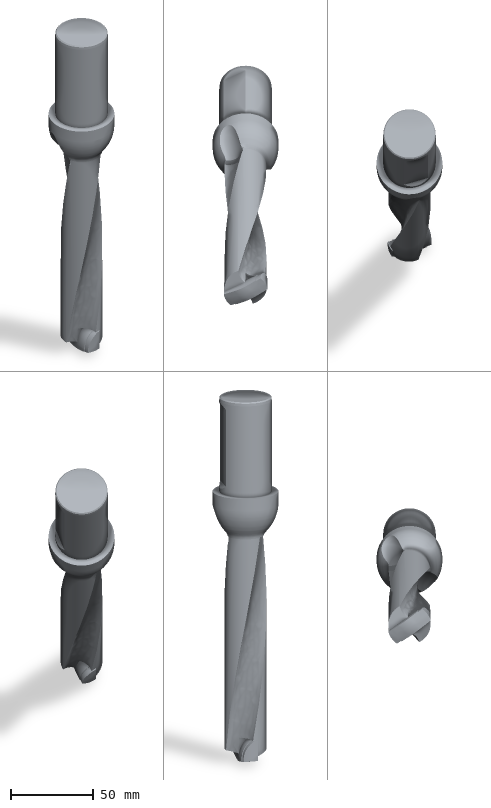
import cadquery as cq
import math

total_length = 230.0
shank_radius = 32.0 / 2
shank_end_radius = 15.2
shank_shoulder_radius = 15.9
shank_shoulder_z = 229.3
shank_taper_z = 227.7
collar_radius = 40.0 / 2
collar_top_z = 170.5
collar_bottom_z = 162.5

flat_distance = 14.0
flat_low_z = 173.2
flat_high_z = 226.8
flat_ramp = 2.8

shaft_radius = 25.5 / 2
neck_top_z = 146.7
neck_bottom_z = 143.3
shaft_tip_z = 4.8
shaft_edge_z = 8.7

flute_count = 2
flute_radius = 9.7
core_radius = 4.5
flute_top_z = 143.8
flute_twist_rate = 0.8261
flute_top_angle = -108.5
runout_radius = 9.2
runout_angle = 35.0
runout_offset = -3.7

insert_radius = 13.3
insert_thickness = 9.5
insert_top_z = 16.3
insert_corner_z = 3.7
gash_inner_x = 2.0
gash_low_z = 4.5
gash_top_y = 1.8
relief_inner_x = 9.5
relief_depth = 0.5

clearance = 11.5


def for_each_flute(tool):
    """Copies of a cutting shape, evenly spaced around the drill axis."""
    return [tool.rotate((0, 0, 0), (0, 0, 1), i * 360 / flute_count) for i in range(flute_count)]


def make_turned_body():
    """Shank, collar, neck and shaft: all round surfaces in one revolve."""
    half_turn = math.atan((collar_radius - shaft_radius) / (collar_bottom_z - neck_bottom_z))
    neck_top_radius = shaft_radius + (neck_top_z - neck_bottom_z) * math.tan(half_turn)
    return (
        cq.Workplane("XZ")
        .moveTo(0, 0)
        .lineTo(0, total_length)
        .lineTo(shank_end_radius, total_length)
        .lineTo(shank_shoulder_radius, shank_shoulder_z)
        .lineTo(shank_radius, shank_taper_z)
        .lineTo(shank_radius, collar_top_z)
        .lineTo(collar_radius, collar_top_z)
        .lineTo(collar_radius, collar_bottom_z)
        .tangentArcPoint((neck_top_radius, neck_top_z), relative=False)
        .tangentArcPoint((shaft_radius, neck_bottom_z), relative=False)
        .lineTo(shaft_radius, 0)
        .close()
        .revolve(360, (0, 0), (0, 1))
    )


def make_flat_cutter():
    """Clamping flat with a ramp at each end."""
    return (
        cq.Workplane("YZ")
        .polyline([(shank_radius, flat_low_z), (flat_distance, flat_low_z + flat_ramp),
                   (flat_distance, flat_high_z - flat_ramp), (shank_radius, flat_high_z)])
        .close()
        .extrude(shank_radius, both=True)
    )


def make_flute_cutter():
    """Round helical channel with its centre outside the core."""
    twist = flute_twist_rate * flute_top_z
    bottom_angle = math.radians(flute_top_angle - twist)
    centre_distance = core_radius + flute_radius
    return (
        cq.Workplane("XY")
        .moveTo(centre_distance * math.cos(bottom_angle), centre_distance * math.sin(bottom_angle))
        .circle(flute_radius)
        .twistExtrude(flute_top_z, twist)
    )


def make_runout_cutter():
    """Straight round channel that leads the -Y flute out through the neck."""
    tilt = math.radians(runout_angle)
    axis = cq.Vector(0, -math.sin(tilt), math.cos(tilt))
    outward = cq.Vector(0, -math.cos(tilt), -math.sin(tilt))
    rim = cq.Vector(runout_offset, -collar_radius, collar_bottom_z)
    length = (collar_bottom_z - flute_top_z) / math.cos(tilt)
    start = rim + outward * runout_radius - axis * length
    return cq.Workplane(cq.Solid.makeCylinder(runout_radius, length + clearance, start, axis))


def make_shaft_end_cutter():
    """Material below the roof-shaped shaft end, whose ridge runs along X."""
    return (
        cq.Workplane("YZ")
        .polyline([(-shaft_radius, shaft_edge_z), (0, shaft_tip_z), (shaft_radius, shaft_edge_z),
                   (shaft_radius, -clearance), (-shaft_radius, -clearance)])
        .close()
        .extrude(shaft_radius, both=True)
    )


def make_insert_slot():
    """Slot across the shaft that holds the insert."""
    return cq.Workplane("XY").box(
        2 * collar_radius, insert_thickness, insert_top_z, centered=(True, True, False))


def make_shaft():
    shaft = make_turned_body().cut(make_flat_cutter())
    for cutter in for_each_flute(make_flute_cutter()) + for_each_flute(make_runout_cutter()):
        shaft = shaft.cut(cutter)
    return shaft.cut(make_shaft_end_cutter()).cut(make_insert_slot())


def make_gash_cutter(inner_x, depth):
    """Curved gash, set back by depth into the -Y face of the insert, from inner_x to the +X end."""
    face_y = -insert_thickness / 2
    return (
        cq.Workplane("YZ", origin=(inner_x, 0, 0))
        .moveTo(face_y - clearance, 0)
        .lineTo(face_y + depth, 0)
        .lineTo(face_y + depth, gash_low_z)
        .tangentArcPoint((gash_top_y + depth, insert_top_z), relative=False)
        .lineTo(face_y - clearance, insert_top_z)
        .close()
        .extrude(insert_radius)
    )


def make_insert():
    """Blade with a conical point and cylindrical outer edges."""
    blank = (
        cq.Workplane("XZ")
        .polyline([(0, 0), (insert_radius, insert_corner_z),
                   (insert_radius, insert_top_z), (0, insert_top_z)])
        .close()
        .revolve(360, (0, 0), (0, 1))
    )
    blade = blank.intersect(make_insert_slot())
    gash = make_gash_cutter(gash_inner_x, 0)
    end_relief = make_gash_cutter(relief_inner_x, relief_depth)
    for cutter in for_each_flute(gash) + for_each_flute(end_relief):
        blade = blade.cut(cutter)
    return blade


shaft = make_shaft()
insert = make_insert()
result = cq.Compound.makeCompound([shaft.val(), insert.val()])